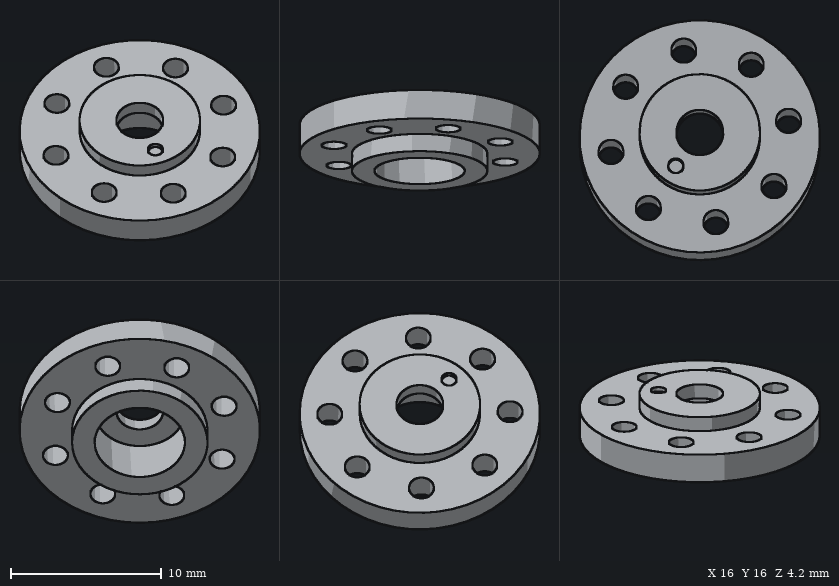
import cadquery as cq

flange_diameter = 15.98
flange_thickness = 2.0

upper_boss_diameter = 8.0
upper_boss_height = 1.0
lower_boss_diameter = 9.0
lower_boss_height = 1.2

bore_diameter = 3.1
recess_diameter = 6.0
recess_depth = lower_boss_height + flange_thickness

bolt_count = 8
bolt_hole_diameter = 1.65
bolt_circle_radius = 6.0

pin_hole_diameter = 1.0
pin_hole_offset = 2.8
pin_hole_depth = 0.3

top_z = flange_thickness + upper_boss_height
bottom_z = -lower_boss_height


def cylinder(diameter, base_z, height, x=0):
    """Vertical cylinder standing on base_z."""
    return cq.Workplane("XY", origin=(x, 0, base_z)).circle(diameter / 2).extrude(height)


body = cylinder(flange_diameter, 0, flange_thickness)
body = body.union(cylinder(upper_boss_diameter, flange_thickness, upper_boss_height))
body = body.union(cylinder(lower_boss_diameter, bottom_z, lower_boss_height))

body = body.cut(cylinder(bore_diameter, bottom_z, top_z - bottom_z))
body = body.cut(cylinder(recess_diameter, bottom_z, recess_depth))

bolt_holes = (
    cq.Workplane("XY")
    .polarArray(bolt_circle_radius, 0, 360, bolt_count)
    .circle(bolt_hole_diameter / 2)
    .extrude(flange_thickness)
)
body = body.cut(bolt_holes)

pin_hole = cylinder(pin_hole_diameter, top_z - pin_hole_depth, pin_hole_depth, pin_hole_offset)
result = body.cut(pin_hole)